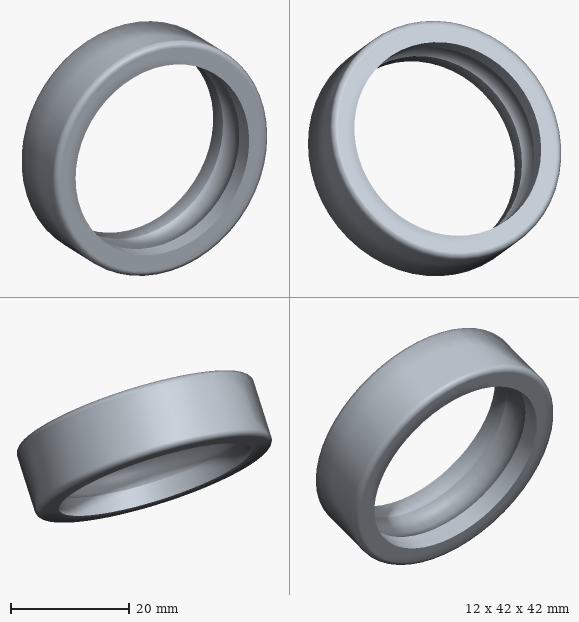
import cadquery as cq

outer_diameter = 42.0
bore_diameter = 34.0
width = 12.0
edge_radius = 1.0

groove_width = 5.45
groove_depth = 1.45

outer_radius = outer_diameter / 2
bore_radius = bore_diameter / 2
half_width = width / 2
half_groove = groove_width / 2


def ring_blank():
    """Plain ring with both outer rims rounded."""
    disc = cq.Workplane("YZ", origin=(-half_width, 0, 0)).circle(outer_radius).extrude(width)
    return disc.edges().fillet(edge_radius).faces(">X").workplane().hole(bore_diameter)


def raceway():
    """Solid of revolution whose curved rim cuts the ball groove."""
    profile = (
        cq.Workplane("XZ")
        .moveTo(-half_groove, 0)
        .lineTo(-half_groove, -bore_radius)
        .threePointArc((0, -bore_radius - groove_depth), (half_groove, -bore_radius))
        .lineTo(half_groove, 0)
        .close()
    )
    return profile.revolve(360, (0, 0, 0), (1, 0, 0))


result = ring_blank().cut(raceway())